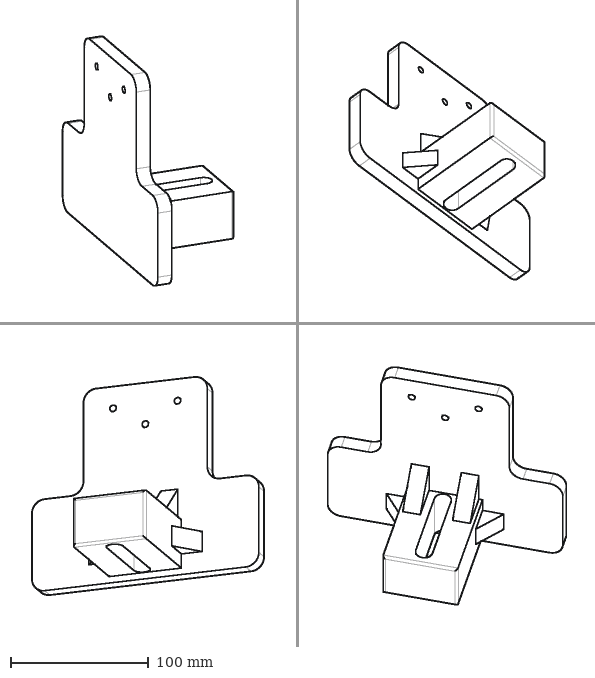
import cadquery as cq

plate_width = 176.0
plate_height = 150.0
plate_thickness = 11.0
base_height = 70.0
tongue_width = 96.1
corner_radius = 10.0

hole_diameter = 5.0
hole_half_spacing = 25.0
outer_hole_drop = 16.7
center_hole_drop = 31.7

total_depth = 86.0
arm_width = 56.0
arm_height = 37.0
arm_bottom = 5.0
arm_end_radius = 2.0

slot_width = 12.5
slot_length = 68.0
slot_end_gap = 6.0

rib_width = 13.2
rib_depth = 26.0
rib_rise = 23.8
rib_offset = 18.7

gusset_height = 15.3
gusset_depth = 20.0
gusset_reach = 16.0

arm_top = arm_bottom + arm_height
arm_length = total_depth - plate_thickness


def make_plate():
    base = cq.Workplane("XY").box(
        plate_width, plate_thickness, base_height, centered=(True, False, False)
    )
    tongue = cq.Workplane("XY").box(
        tongue_width, plate_thickness, plate_height, centered=(True, False, False)
    )
    return base.union(tongue).clean().edges("|Y").fillet(corner_radius)


def make_arm():
    arm = cq.Workplane("XY").box(arm_width, arm_length, arm_height, centered=(True, False, False))
    arm = arm.translate((0, plate_thickness, arm_bottom))
    return arm.faces(">Y").edges().fillet(arm_end_radius)


def make_rib(center_x):
    return (
        cq.Workplane("YZ", origin=(center_x, plate_thickness, arm_top))
        .polyline([(0, 0), (rib_depth, 0), (0, rib_rise)])
        .close()
        .extrude(rib_width / 2, both=True)
    )


def make_gusset(side):
    gusset_bottom = arm_bottom + (arm_height - gusset_height) / 2
    return (
        cq.Workplane("XY", origin=(side * arm_width / 2, plate_thickness, gusset_bottom))
        .polyline([(0, 0), (side * gusset_reach, 0), (0, gusset_depth)])
        .close()
        .extrude(gusset_height)
    )


def make_slot():
    slot_center_y = total_depth - slot_end_gap - slot_length / 2
    return (
        cq.Workplane("XY", origin=(0, slot_center_y, arm_bottom))
        .slot2D(slot_length, slot_width, angle=90)
        .extrude(arm_height)
    )


def make_holes():
    outer_z = plate_height - outer_hole_drop
    center_z = plate_height - center_hole_drop
    return (
        cq.Workplane("XZ")
        .pushPoints([(-hole_half_spacing, outer_z), (hole_half_spacing, outer_z), (0, center_z)])
        .circle(hole_diameter / 2)
        .extrude(-plate_thickness)
    )


result = make_plate().union(make_arm())
for side in (-1, 1):
    result = result.union(make_rib(side * rib_offset)).union(make_gusset(side))
result = result.cut(make_slot()).cut(make_holes())